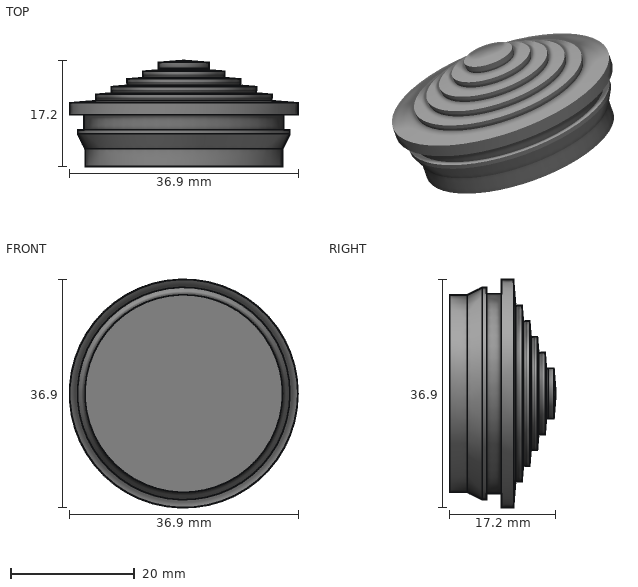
import cadquery as cq
import math

overall_length = 17.16
front_y = -overall_length / 2
tip_y = overall_length / 2

spigot_radius = 31.9 / 2
lip_radius = 34.3 / 2
neck_radius = 32.3 / 2
flange_radius = 36.9 / 2
spigot_length = 2.86
lead_in_length = 2.42
lip_length = 0.68
lip_to_flange_gap = 2.39
flange_rim_length = 1.95

face_slope = math.tan(math.radians(4.7))

dish_slope = math.tan(math.radians(20))

lower_tier_radii = [28.5 / 2, 23.5 / 2, 18.4 / 2, 13.3 / 2]
top_tier_radius = 8.2 / 2
undercut = 0.1
tier_height = 1.025
rim_length = 0.55
top_rim_length = 0.9

spigot_end = front_y + spigot_length
lead_in_end = spigot_end + lead_in_length
lip_end = lead_in_end + lip_length
flange_start = lip_end + lip_to_flange_gap
flange_end = flange_start + flange_rim_length


def body_points():
    """Half profile (radius, y) from the front face to the flange rim."""
    neck_end = flange_start + (flange_radius - neck_radius) * dish_slope
    return [
        (0, front_y),
        (spigot_radius, front_y),
        (spigot_radius, spigot_end),
        (lip_radius, lead_in_end),
        (lip_radius, lip_end),
        (neck_radius, lip_end),
        (neck_radius, neck_end),
        (flange_radius, flange_start),
        (flange_radius, flange_end),
    ]


def cap_points():
    """Half profile (radius, y) of the tiers, each rising from the sloped face below it."""
    points = []
    face_radius = flange_radius
    face_y = flange_end
    for radius in lower_tier_radii:
        foot_radius = radius - undercut
        foot_y = face_y + (face_radius - foot_radius) * face_slope
        rim_end = foot_y + tier_height
        points += [(foot_radius, foot_y), (radius, rim_end - rim_length), (radius, rim_end)]
        face_radius = radius
        face_y = rim_end

    foot_radius = top_tier_radius - undercut
    foot_y = face_y + (face_radius - foot_radius) * face_slope
    rim_end = tip_y - top_tier_radius * face_slope
    points += [
        (foot_radius, foot_y),
        (top_tier_radius, rim_end - top_rim_length),
        (top_tier_radius, rim_end),
        (0, tip_y),
    ]
    return points


profile = cq.Workplane("XY").polyline(body_points() + cap_points()).close()
result = profile.revolve(360, (0, 0, 0), (0, 1, 0))